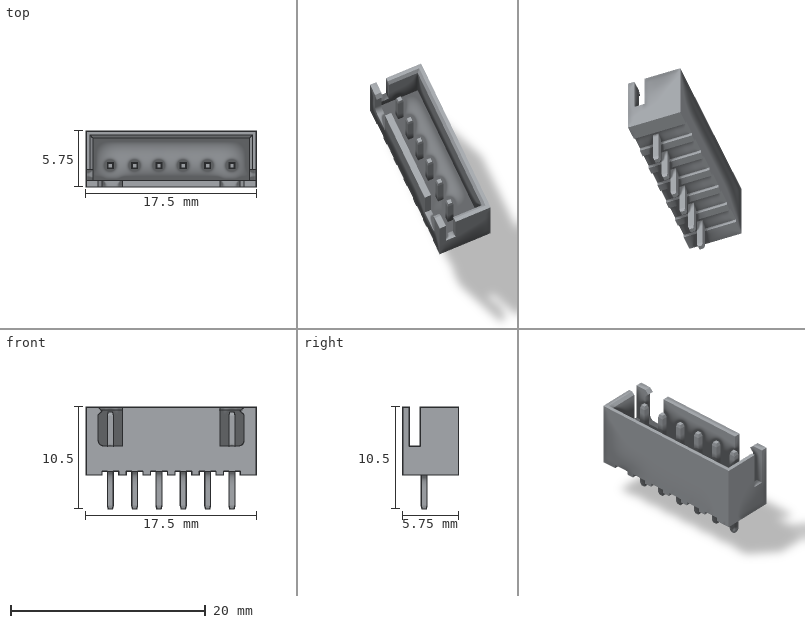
import cadquery as cq

pin_count = 6
pin_pitch = 2.5
pin_width = 0.63
pin_tip_width = 0.44
pin_tip_height = 0.37
pin_length_below = 3.5
pin_top_gap = 0.5

end_margin = 2.5
housing_length = (pin_count - 1) * pin_pitch + 2 * end_margin
housing_depth = 5.75
housing_height = 7.0
front_to_pins = 2.21
wall = 0.7
floor_top = 2.0
rim_chamfer = 0.3

opening_depth = 4.0
side_slot_width = 1.1
window_width = 2.5
window_margin = 1.25
window_radius = 0.6
catch_reach = 0.4
catch_peak_drop = 0.4
catch_height = 0.8

notch_width = 1.7
notch_height = 0.4

half_length = housing_length / 2
front_y = -front_to_pins
back_y = front_y + housing_depth
opening_bottom = housing_height - opening_depth
pin_positions = [(i - (pin_count - 1) / 2) * pin_pitch for i in range(pin_count)]


def box(x_range, y_range, z_range):
    """Axis-aligned box spanning the given (low, high) ranges."""
    (x0, x1), (y0, y1), (z0, z1) = x_range, y_range, z_range
    return cq.Workplane("XY").box(x1 - x0, y1 - y0, z1 - z0, centered=False).translate((x0, y0, z0))


def rim_lead_in():
    """Tapered opening along the inner top edge of the back and end walls."""
    inner_x = half_length - wall
    outer_x = inner_x + rim_chamfer
    inner_back = back_y - wall
    outer_back = inner_back + rim_chamfer
    inner_front = front_y + wall

    def rectangle(half_width, y_back):
        return [
            (-half_width, inner_front),
            (half_width, inner_front),
            (half_width, y_back),
            (-half_width, y_back),
        ]

    return (
        cq.Workplane("XY", origin=(0, 0, housing_height - rim_chamfer))
        .polyline(rectangle(inner_x, inner_back)).close()
        .workplane(offset=rim_chamfer)
        .polyline(rectangle(outer_x, outer_back)).close()
        .loft(ruled=True)
    )


def left_window():
    """Front wall window with a rounded outer corner and a pointed catch at its top."""
    outer_x = -half_length + window_margin
    inner_x = outer_x + window_width
    return (
        cq.Workplane("XZ", origin=(0, front_y, 0))
        .moveTo(inner_x, housing_height)
        .lineTo(outer_x, housing_height)
        .lineTo(outer_x + catch_reach, housing_height - catch_peak_drop)
        .lineTo(outer_x, housing_height - catch_height)
        .lineTo(outer_x, opening_bottom + window_radius)
        .radiusArc((outer_x + window_radius, opening_bottom), -window_radius)
        .lineTo(inner_x, opening_bottom)
        .close()
        .extrude(-wall)
    )


def make_housing():
    body = box((-half_length, half_length), (front_y, back_y), (0, housing_height))
    body = body.cut(box(
        (-half_length + wall, half_length - wall),
        (front_y + wall, back_y - wall),
        (floor_top, housing_height),
    ))
    body = body.cut(rim_lead_in())
    body = body.cut(box(
        (-half_length, half_length),
        (front_y + wall, front_y + wall + side_slot_width),
        (opening_bottom, housing_height),
    ))
    window = left_window()
    body = body.cut(window).cut(window.mirror("YZ"))
    for x in pin_positions:
        body = body.cut(box(
            (x - notch_width / 2, x + notch_width / 2), (front_y, back_y), (0, notch_height)
        ))
    return body


def make_pin(x):
    """Square pin along Z with a tapered tip at each end."""
    bottom = -pin_length_below
    top = housing_height - pin_top_gap
    shank_bottom = bottom + pin_tip_height
    shank_top = top - pin_tip_height

    def tip(shank_z, direction):
        return (
            cq.Workplane("XY", origin=(x, 0, shank_z))
            .rect(pin_width, pin_width)
            .workplane(offset=direction * pin_tip_height)
            .rect(pin_tip_width, pin_tip_width)
            .loft(ruled=True)
        )

    half = pin_width / 2
    shank = box((x - half, x + half), (-half, half), (shank_bottom, shank_top))
    return shank.union(tip(shank_top, 1)).union(tip(shank_bottom, -1))


result = make_housing()
for pin_x in pin_positions:
    result = result.union(make_pin(pin_x))